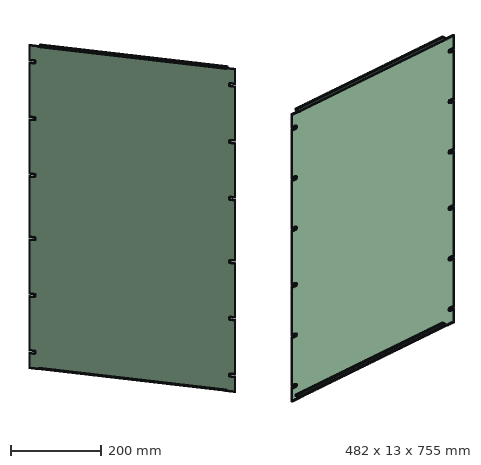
import cadquery as cq

height = 755.0
width = 482.0
depth = 13.0
thickness = 2.05

flange_end_inset = 22.0
flange_length = width - 2 * flange_end_inset
bend_radius = 1.5

slot_width = 7.0
slot_depth = 13.5
slot_pitch = 133.0
first_slot_height = 74.0
slots_per_quarter = 3


def make_channel():
    """Middle of the panel with both flanges folded back through bends rounded on the outside."""
    outside = (
        cq.Workplane("XY")
        .box(flange_length, depth, height, centered=(True, False, True))
        .edges("|X and <Y")
        .fillet(bend_radius)
    )
    inside = (
        cq.Workplane("XY")
        .box(flange_length, depth, height - 2 * thickness, centered=(True, False, True))
        .translate((0, thickness, 0))
    )
    return outside.cut(inside)


def make_side_strip(side):
    """Flat strip beyond the flange ends on the left (-1) or right (1)."""
    middle_x = side * (width - flange_end_inset) / 2
    return (
        cq.Workplane("XY")
        .box(flange_end_inset, thickness, height, centered=(True, False, True))
        .translate((middle_x, 0, 0))
    )


def make_slots():
    """Round-ended cutters centred on the side edges, so half of each cuts inward."""
    centres = [
        (side * width / 2, level * (first_slot_height + row * slot_pitch))
        for side in (-1, 1)
        for level in (-1, 1)
        for row in range(slots_per_quarter)
    ]
    return (
        cq.Workplane("XZ")
        .pushPoints(centres)
        .slot2D(2 * slot_depth, slot_width)
        .extrude(-thickness)
    )


result = make_channel()
for panel_side in (-1, 1):
    result = result.union(make_side_strip(panel_side))
result = result.cut(make_slots())